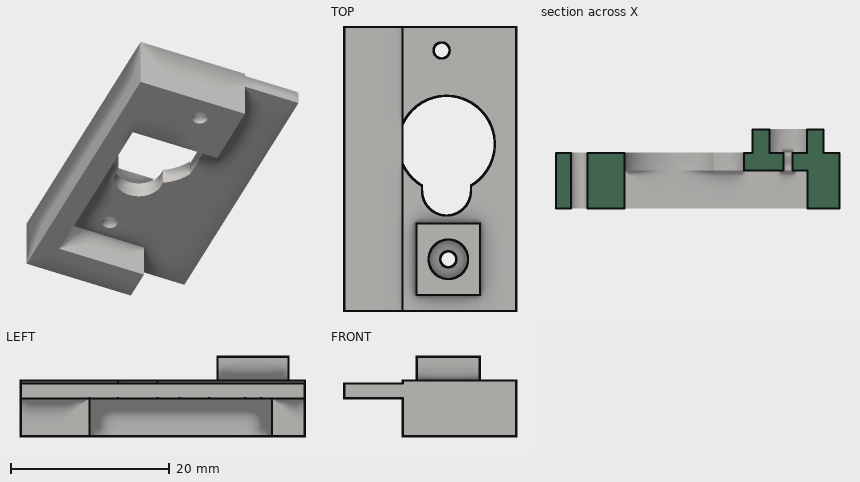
import cadquery as cq

total_width = 21.82
length = 36.0
flange_reach = 7.4
body_height = 7.08
flange_thickness = 1.9
flange_step = 0.38

keyhole_x = 12.97
keyhole_y = 21.15
keyhole_radius = 6.1
key_slot_width = 6.15
key_slot_center_y = 15.2
pocket_front_y = 4.15

boss_width = 8.0
boss_length = 9.0
boss_height = 3.0
boss_x = 13.2
boss_y = 6.57
screw_diameter = 2.0
counterbore_diameter = 5.0
counterbore_depth = boss_height

rear_hole_x = 12.35
rear_hole_y = 33.0

flange_bottom = body_height - flange_step - flange_thickness
top_height = body_height + boss_height


def box(x_min, x_max, y_min, y_max, z_min, z_max):
    size = (x_max - x_min, y_max - y_min, z_max - z_min)
    return cq.Workplane("XY").box(*size, centered=False).translate((x_min, y_min, z_min))


def upright_cylinder(x, y, diameter, z_min, z_max):
    disc = cq.Workplane("XY").workplane(offset=z_min).center(x, y).circle(diameter / 2)
    return disc.extrude(z_max - z_min)


def make_body():
    block = box(flange_reach, total_width, 0, length, 0, body_height)
    flange = box(0, flange_reach, 0, length, flange_bottom, flange_bottom + flange_thickness)
    boss = box(
        boss_x - boss_width / 2,
        boss_x + boss_width / 2,
        boss_y - boss_length / 2,
        boss_y + boss_length / 2,
        body_height,
        top_height,
    )
    return block, flange, boss


def make_pocket():
    return box(
        flange_reach,
        keyhole_x + keyhole_radius,
        pocket_front_y,
        keyhole_y + keyhole_radius,
        0,
        flange_bottom,
    )


def make_keyhole():
    head = upright_cylinder(keyhole_x, keyhole_y, 2 * keyhole_radius, 0, body_height)
    slot = box(
        keyhole_x - key_slot_width / 2,
        keyhole_x + key_slot_width / 2,
        key_slot_center_y,
        keyhole_y,
        0,
        body_height,
    )
    slot_end = upright_cylinder(keyhole_x, key_slot_center_y, key_slot_width, 0, body_height)
    return head.union(slot).union(slot_end)


def make_screw_holes():
    rear = upright_cylinder(rear_hole_x, rear_hole_y, screw_diameter, 0, body_height)
    front = upright_cylinder(boss_x, boss_y, screw_diameter, 0, top_height)
    counterbore = upright_cylinder(
        boss_x, boss_y, counterbore_diameter, top_height - counterbore_depth, top_height
    )
    return rear.union(front).union(counterbore)


block, flange, boss = make_body()
result = (
    block.union(boss)
    .cut(make_pocket())
    .cut(make_keyhole())
    .cut(make_screw_holes())
    .union(flange)
)